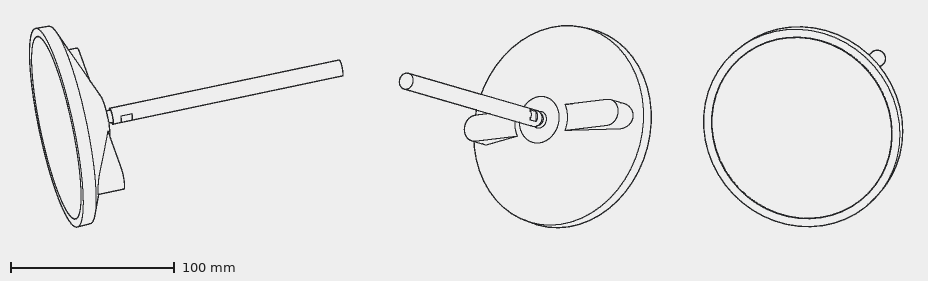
import cadquery as cq
import math

total_length = 180.0

foot_diameter = 124.0
rim_top_diameter = 123.3
rim_height = 8.3
foot_height = 30.0
cone_top_diameter = 28.8

pad_diameter = 113.5
groove_diameter = 114.0
groove_depth = 0.9

bar_length = 111.6
bar_width = 16.2
bar_top = 27.9
bar_base = rim_height

rod_diameter = 10.0
rod_start = 34.7
neck_diameter = 7.7
neck_start = 31.5
ball_diameter = 12.5
flats_start = 39.8
flats_length = 7.0
across_flats = 8.0


def cylinder(diameter, start, end):
    """Cylinder on the Y axis between two heights."""
    return cq.Workplane("XZ", origin=(0, start, 0)).circle(diameter / 2).extrude(start - end)


def make_foot():
    profile = [
        (0, 0),
        (foot_diameter / 2, 0),
        (rim_top_diameter / 2, rim_height),
        (cone_top_diameter / 2, foot_height),
        (0, foot_height),
    ]
    return cq.Workplane("XY").polyline(profile).close().revolve(360, (0, 0), (0, 1))


def make_groove():
    outer = cylinder(groove_diameter, 0, groove_depth)
    return outer.cut(cylinder(pad_diameter, 0, groove_depth))


def make_bar():
    plane = cq.Workplane("XZ", origin=(0, bar_base, 0))
    return plane.slot2D(bar_length, bar_width).extrude(bar_base - bar_top)


def make_rod():
    ball_center = neck_start - math.sqrt((ball_diameter / 2) ** 2 - (neck_diameter / 2) ** 2)
    ball = cq.Workplane("XY", origin=(0, ball_center, 0)).sphere(ball_diameter / 2)
    neck = cylinder(neck_diameter, ball_center, rod_start)
    rod = cylinder(rod_diameter, rod_start, total_length)

    flats_middle = flats_start + flats_length / 2
    for side in (-1, 1):
        flat_cut = cq.Workplane("XY").box(rod_diameter, flats_length, rod_diameter)
        offset = side * (across_flats + rod_diameter) / 2
        rod = rod.cut(flat_cut.translate((offset, flats_middle, 0)))
    return ball.union(neck).union(rod)


foot = make_foot().cut(make_groove())
result = foot.union(make_bar()).union(make_rod())